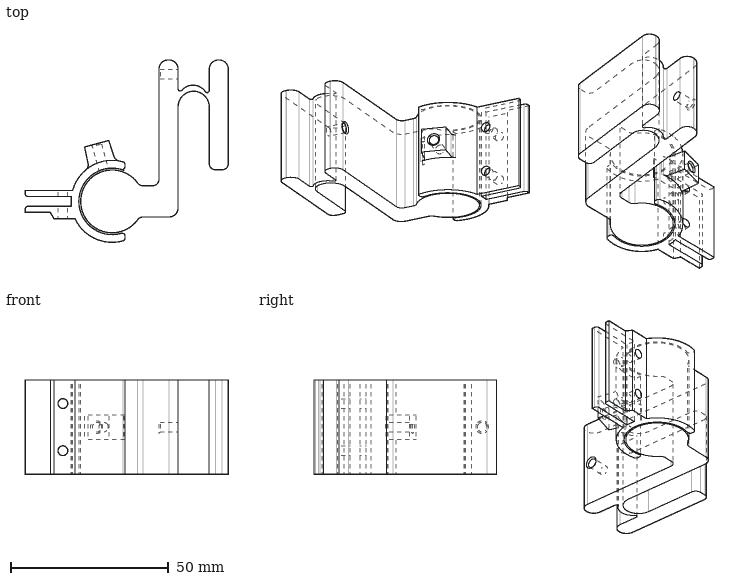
import cadquery as cq
import math

height = 30.0
mid_height = height / 2
screw_diameter = 3.0
screw_mouth_diameter = 4.0
mouth_depth = (screw_mouth_diameter - screw_diameter) / 2

pivot_radius = 10.0
arm_half_width = pivot_radius / 2
neck_fillet = 2.0
post_left = 14.85
post_width = 6.1
leg_gap = 9.8
post_right = post_left + post_width
leg_left = post_right + leg_gap
leg_right = leg_left + post_width
post_top = 44.9
leg_bottom = 10.0
post_top_radius = 2.95
outer_corner_radius = 2.95
leg_bottom_radius = 2.0
bridge_inner_radius = leg_gap / 2
bridge_center_x = post_right + bridge_inner_radius
bridge_center_y = 30.0
bridge_crown_radius = 4.7
bridge_crown_x = bridge_center_x - 0.2
bridge_crown_y = 32.2
bridge_root_fillet = 0.65
post_hole_from_top = 4.6

ring_outer_radius = 13.0
ring_inner_radius = 10.5
ring_opening_x = 4.1
ring_tip_fillet = 0.95
tab_left = -27.6
tab_gap = 3.0
tab_thickness = 2.0
tab_outer_y = tab_gap / 2 + tab_thickness
tab_tip_fillet = 0.95
pad_left = -19.6
pad_face_left = -18.45
pad_face_y = -5.55
tab_hole_x = -15.6
tab_hole_spacing = 14.95
boss_angle = 15
boss_face_distance = 18.95
boss_face_width = 8.0
boss_taper = 3.2
boss_height = 7.8
boss_fillet = 2.0
boss_root_width = 12.25


def block(left, right, bottom, top):
    """Full-height block with the given limits in X and Y."""
    return cq.Workplane("XY").box(
        right - left, top - bottom, height, centered=False
    ).translate((left, bottom, 0))


def disc(radius, x=0, y=0):
    """Full-height cylinder standing at x, y."""
    return cq.Workplane("XY").center(x, y).circle(radius).extrude(height)


def vertical_edge(x, y):
    """Selector for the vertical edge at x, y."""
    return cq.selectors.BoxSelector((x - 0.05, y - 0.05, -0.65), (x + 0.05, y + 0.05, height + 0.65))


def fillet_corners(body, radius, corners):
    """Round the vertical edges at the given x, y corners."""
    edges = cq.Workplane("XY").newObject([body.val()])
    selector = vertical_edge(*corners[0])
    for corner in corners[1:]:
        selector = selector + vertical_edge(*corner)
    return edges.edges("|Z").edges(selector).fillet(radius)


def threaded_hole(mouth, direction, depth):
    """Cutter for a screw hole with a chamfered mouth."""
    bore = cq.Solid.makeCylinder(screw_diameter / 2, depth, mouth, direction)
    chamfer = cq.Solid.makeCone(
        screw_mouth_diameter / 2, screw_diameter / 2, mouth_depth, mouth, direction
    )
    return bore.fuse(chamfer)


def bridge_root_center(wall_x, side):
    """Centre of the root fillet tangent to a wall and to the crown; side points to the wall."""
    x = wall_x - side * bridge_root_fillet
    reach = bridge_crown_radius + bridge_root_fillet
    return x, bridge_crown_y + math.sqrt(reach ** 2 - (x - bridge_crown_x) ** 2)


def make_bridge():
    """Arched web that joins the post to the spring leg."""
    left_x, left_y = bridge_root_center(post_right, -1)
    right_x, right_y = bridge_root_center(leg_left, 1)
    share = bridge_crown_radius / (bridge_crown_radius + bridge_root_fillet)
    crown_left = (
        bridge_crown_x + share * (left_x - bridge_crown_x),
        bridge_crown_y + share * (left_y - bridge_crown_y),
    )
    crown_right = (
        bridge_crown_x + share * (right_x - bridge_crown_x),
        bridge_crown_y + share * (right_y - bridge_crown_y),
    )
    web = (
        cq.Workplane("XY")
        .moveTo(post_right, bridge_center_y)
        .lineTo(post_right, left_y)
        .threePointArc((left_x, left_y - bridge_root_fillet), crown_left)
        .threePointArc((bridge_crown_x, bridge_crown_y + bridge_crown_radius), crown_right)
        .threePointArc((right_x, right_y - bridge_root_fillet), (leg_left, right_y))
        .lineTo(leg_left, bridge_center_y)
        .close()
        .extrude(height)
    )
    return web.cut(disc(bridge_inner_radius, bridge_center_x, bridge_center_y))


def make_pivot_bracket():
    arm = block(0, post_right, -arm_half_width, arm_half_width)
    neck_x = math.sqrt(pivot_radius ** 2 - arm_half_width ** 2)
    arm = arm.union(disc(pivot_radius))
    post = block(post_left, post_right, -arm_half_width, post_top)
    leg = block(leg_left, leg_right, leg_bottom, post_top)
    body = arm.union(post)
    body = fillet_corners(body, neck_fillet, [
        (neck_x, arm_half_width), (neck_x, -arm_half_width), (post_left, arm_half_width)])
    body = fillet_corners(body, outer_corner_radius, [(post_right, -arm_half_width)])
    body = fillet_corners(body, post_top_radius, [(post_left, post_top), (post_right, post_top)])
    leg = fillet_corners(leg, post_top_radius, [(leg_left, post_top), (leg_right, post_top)])
    leg = fillet_corners(leg, leg_bottom_radius, [(leg_left, leg_bottom), (leg_right, leg_bottom)])
    body = body.union(make_bridge()).union(leg)
    mouth = cq.Vector(post_left, post_top - post_hole_from_top, mid_height)
    return body.cut(cq.Workplane(threaded_hole(mouth, cq.Vector(1, 0, 0), post_width)))


def make_ring():
    """Ring opened on the +X side, with rounded tips."""
    ring = disc(ring_outer_radius).cut(disc(ring_inner_radius))
    ring = ring.cut(block(ring_opening_x, ring_outer_radius, -ring_outer_radius, ring_outer_radius))
    tips = []
    for radius in (ring_inner_radius, ring_outer_radius):
        tip_y = math.sqrt(radius ** 2 - ring_opening_x ** 2)
        tips += [(ring_opening_x, tip_y), (ring_opening_x, -tip_y)]
    return fillet_corners(ring, ring_tip_fillet, tips)


def make_tabs():
    """Two parallel tabs; the lower one carries the thicker screw pad."""
    tabs = block(tab_left, 0, -tab_outer_y, tab_outer_y)
    tabs = tabs.cut(block(tab_left, 0, -tab_gap / 2, tab_gap / 2))
    tabs = fillet_corners(tabs, tab_tip_fillet, [(tab_left, tab_gap / 2), (tab_left, -tab_gap / 2)])
    pad = cq.Workplane("XY").polyline([
        (pad_left, -tab_outer_y),
        (pad_face_left, pad_face_y),
        (0, pad_face_y),
        (0, -tab_outer_y),
    ]).close().extrude(height)
    return tabs.union(pad).cut(disc(ring_inner_radius))


def make_boss():
    """Tapered boss with filleted roots, standing radially on the ring."""
    half_face = boss_face_width / 2
    half_base = half_face + boss_face_distance * math.tan(math.radians(boss_taper))
    boss = cq.Workplane("XY").polyline([
        (-half_base, 0),
        (-half_face, boss_face_distance),
        (half_face, boss_face_distance),
        (half_base, 0),
    ]).close().extrude(boss_height)
    boss = boss.union(cq.Workplane("XY").circle(ring_outer_radius).extrude(boss_height))
    boss = boss.edges("|Z").edges(cq.selectors.BoxSelector(
        (-half_base, half_face, -0.65), (half_base, ring_outer_radius, boss_height + 0.65)
    )).fillet(boss_fillet)
    keep = cq.Workplane("XY").box(
        boss_root_width, boss_face_distance, boss_height, (True, False, False)
    ).cut(cq.Workplane("XY").circle(ring_inner_radius).extrude(boss_height))
    boss = boss.intersect(keep)
    return boss.rotate((0, 0, 0), (0, 0, 1), boss_angle).translate((0, 0, mid_height - boss_height / 2))


def make_swivel_clip():
    clip = make_ring().union(make_tabs()).union(make_boss())
    for side in (-1, 1):
        base = cq.Vector(tab_hole_x, pad_face_y, mid_height + side * tab_hole_spacing / 2)
        hole = cq.Solid.makeCylinder(
            screw_diameter / 2, tab_outer_y - pad_face_y, base, cq.Vector(0, 1, 0))
        clip = clip.cut(cq.Workplane(hole))
    tilt = math.radians(boss_angle)
    outward = cq.Vector(-math.sin(tilt), math.cos(tilt), 0)
    mouth = outward * boss_face_distance + cq.Vector(0, 0, mid_height)
    return clip.cut(cq.Workplane(threaded_hole(mouth, outward * -1, boss_face_distance)))


pivot_bracket = make_pivot_bracket()
swivel_clip = make_swivel_clip()
result = cq.Compound.makeCompound([pivot_bracket.val(), swivel_clip.val()])